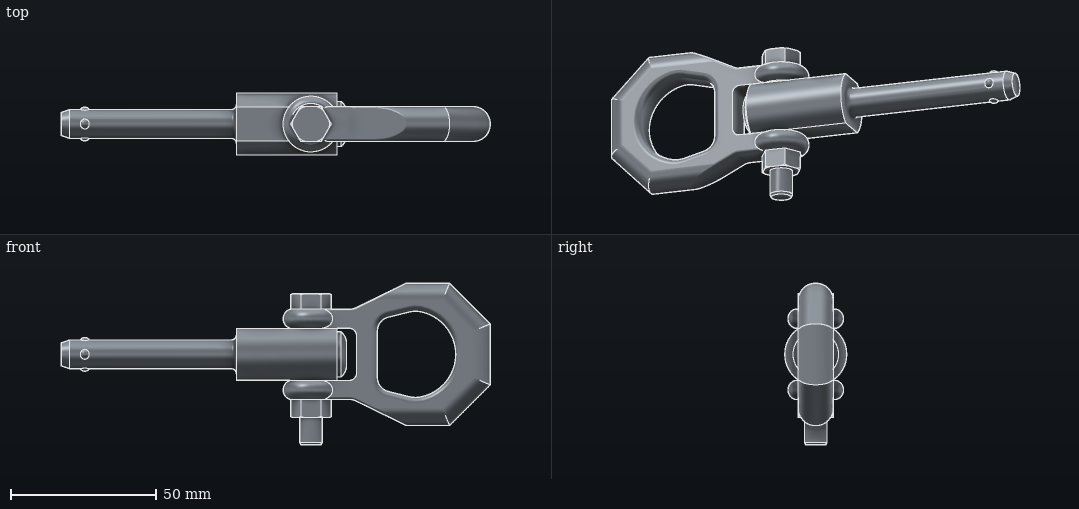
import cadquery as cq
import math


tip_x = -86.0
shank_diameter = 10.0
tip_taper_length = 3.0
tip_taper_depth = 1.0
ball_diameter = 3.7
ball_from_tip = 8.1
ball_protrusion = 0.81
block_start_x = -25.7
block_length = 34.7
block_diameter = 21.4
block_flat_width = 17.9
collar_radius = 1.6
button_radius = 7.8
button_rim_length = 1.3
button_length = 3.2
button_face_radius = 4.5
button_crown_bulge = 0.3

shank_radius = shank_diameter / 2
ball_radius = ball_diameter / 2
block_end_x = block_start_x + block_length

thickness = 12.1
ring_end_x = 61.7
ring_height = 49.0
ring_end_flat = 21.0
ring_crest_flat = 0.1
neck_bend_x = 14.5
neck_slope_end_x = 32.8
neck_bend_radius = 4.5
neck_edge_round = 0.9
slot_end_x = 15.7
slot_corner_radius = 2.5
eye_center_x = 34.9
eye_radius = 14.9
eye_flat_x = 22.9
eye_flat_half_height = 11.8
eye_side_angle = 14.0
eye_corner_radius = 4.9
eye_shoulder_radius = 9.6
eye_edge_round = 2.2
select_margin = 1.5

ring_half_height = ring_height / 2
ring_round = (thickness - ring_crest_flat) / 2
ring_corner_leg = ring_half_height - ring_end_flat / 2

boss_radius = 9.6
boss_face_radius = 7.1
boss_height = 6.6
bolt_diameter = 7.8
bolt_end_z = -31.2
bolt_tip_length = 0.9
bolt_tip_depth = 0.5
hex_across_flats = 12.1
hex_face_radius = 6.4
hex_chamfer_angle = 30.0
head_height = 5.3
nut_height = 6.2

boss_inner_z = block_flat_width / 2
boss_outer_z = boss_inner_z + boss_height
arm_half_height = boss_outer_z
hex_across_corners = hex_across_flats / math.cos(math.radians(30))


def make_pin_core():
    """Shank with tapered tip, collar blend and release button, turned about X."""
    button_rim_x = block_end_x + button_rim_length
    button_end_x = block_end_x + button_length
    crown_mid = (
        (button_rim_x + button_end_x) / 2 + button_crown_bulge,
        (button_radius + button_face_radius) / 2 + button_crown_bulge,
    )
    blend_mid = collar_radius * (1 - math.sqrt(0.5))
    profile = (
        cq.Workplane("XY")
        .moveTo(tip_x, 0)
        .lineTo(tip_x, shank_radius - tip_taper_depth)
        .lineTo(tip_x + tip_taper_length, shank_radius)
        .lineTo(block_start_x - collar_radius, shank_radius)
        .threePointArc(
            (block_start_x - blend_mid, shank_radius + blend_mid),
            (block_start_x, shank_radius + collar_radius),
        )
        .lineTo(block_start_x, button_radius)
        .lineTo(button_rim_x, button_radius)
        .threePointArc(crown_mid, (button_end_x, button_face_radius))
        .lineTo(button_end_x, 0)
        .close()
    )
    return profile.revolve(360, (0, 0, 0), (1, 0, 0))


def make_block():
    """Round block with a flat on its top and bottom."""
    barrel = (
        cq.Workplane("YZ", origin=(block_start_x, 0, 0))
        .circle(block_diameter / 2)
        .extrude(block_length)
    )
    flats = (
        cq.Workplane("YZ", origin=(block_start_x, 0, 0))
        .rect(block_diameter, block_flat_width)
        .extrude(block_length)
    )
    return barrel.intersect(flats)


def make_locking_pin():
    pin = make_pin_core().union(make_block())
    ball_offset = shank_radius + ball_protrusion - ball_radius
    for quarter in range(4):
        ball = (
            cq.Workplane("XY")
            .sphere(ball_radius)
            .translate((tip_x + ball_from_tip, 0, ball_offset))
            .rotate((0, 0, 0), (1, 0, 0), 90 * quarter)
        )
        pin = pin.union(ball)
    bolt_hole = cq.Workplane("XY").circle(bolt_diameter / 2).extrude(block_diameter, both=True)
    return pin.cut(bolt_hole)


def band(start_x, end_x):
    """Selector for everything centred between two X positions, over the whole ring height."""
    return cq.selectors.BoxSelector(
        (start_x, -thickness, -ring_height), (end_x, thickness, ring_height)
    )


def extrude_across(outline):
    """Extrude an XZ outline by the shackle thickness, centred on Y = 0."""
    return outline.extrude(thickness / 2, both=True)


def make_ring_blank():
    """Plate with a half-octagon far end and rounded outer edges."""
    blank = extrude_across(
        cq.Workplane("XZ")
        .moveTo(0, -ring_half_height)
        .lineTo(ring_end_x - ring_corner_leg, -ring_half_height)
        .lineTo(ring_end_x, -ring_end_flat / 2)
        .lineTo(ring_end_x, ring_end_flat / 2)
        .lineTo(ring_end_x - ring_corner_leg, ring_half_height)
        .lineTo(0, ring_half_height)
        .close()
    )
    return blank.faces("|Y").edges("not(<X)").fillet(ring_round)


def make_neck_cutter():
    """Waste above the upper arm and the slope that rises to the ring."""
    waste_top_z = 2 * ring_half_height - arm_half_height
    waste_end_x = 2 * neck_slope_end_x - neck_bend_x
    waste = (
        cq.Workplane("XZ", origin=(0, thickness, 0))
        .moveTo(-waste_end_x, arm_half_height)
        .lineTo(neck_bend_x, arm_half_height)
        .lineTo(waste_end_x, waste_top_z)
        .lineTo(-waste_end_x, waste_top_z)
        .close()
        .extrude(2 * thickness)
    )
    bend = cq.selectors.NearestToPointSelector((neck_bend_x, 0, arm_half_height))
    return waste.edges("|Y").edges(bend).fillet(neck_bend_radius)


def make_eye():
    """Round eye cut off by a flat and two sloped sides, with blended corners."""
    reach = eye_center_x + eye_radius - eye_flat_x
    far_half_height = eye_flat_half_height + reach * math.tan(math.radians(eye_side_angle))
    sides = extrude_across(
        cq.Workplane("XZ").polyline([
            (eye_flat_x, -eye_flat_half_height),
            (eye_flat_x + reach, -far_half_height),
            (eye_flat_x + reach, far_half_height),
            (eye_flat_x, eye_flat_half_height),
        ]).close()
    )
    disc = extrude_across(cq.Workplane("XZ").center(eye_center_x, 0).circle(eye_radius))
    left_part = extrude_across(
        cq.Workplane("XZ")
        .center((eye_flat_x + eye_center_x) / 2, 0)
        .rect(eye_center_x - eye_flat_x, 2 * eye_radius)
    )
    eye = sides.intersect(disc.union(left_part))
    corners = band(eye_flat_x - select_margin, eye_flat_x + select_margin)
    shoulders = band(eye_center_x - select_margin, eye_center_x + select_margin)
    eye = eye.edges("|Y").edges(shoulders).fillet(eye_shoulder_radius)
    return eye.edges("|Y").edges(corners).fillet(eye_corner_radius)


def make_slot():
    """Gap between the arms that takes the pin block."""
    return (
        extrude_across(cq.Workplane("XZ").rect(2 * slot_end_x, block_flat_width))
        .edges("|Y and >X")
        .fillet(slot_corner_radius)
    )


def make_frame():
    """Ring, neck and arms as one rounded plate with its eye and slot."""
    neck_waste = make_neck_cutter()
    frame = make_ring_blank().cut(neck_waste).cut(neck_waste.mirror("XY"))
    neck_region = band(select_margin, neck_slope_end_x - select_margin)
    neck_edges = frame.edges(neck_region).edges("not(|Y)")
    frame = neck_edges.fillet(neck_edge_round)
    frame = frame.cut(make_eye())
    eye_rim = cq.selectors.BoxSelector(
        (eye_flat_x - select_margin, -thickness, -eye_radius),
        (eye_center_x + eye_radius, thickness, eye_radius),
    )
    frame = frame.edges("(not |Y)").edges(eye_rim).fillet(eye_edge_round)
    return frame.cut(make_slot())


def make_boss():
    """Bulging round boss on the upper arm, turned about Z."""
    boss_middle_z = (boss_inner_z + boss_outer_z) / 2
    return (
        cq.Workplane("XZ")
        .moveTo(0, boss_inner_z)
        .lineTo(boss_face_radius, boss_inner_z)
        .threePointArc((boss_radius, boss_middle_z), (boss_face_radius, boss_outer_z))
        .lineTo(0, boss_outer_z)
        .close()
        .revolve(360, (0, 0, 0), (0, 1, 0))
    )


def make_hex(height):
    """Hexagon standing on the upper boss, its corners chamfered at the free end."""
    prism = (
        cq.Workplane("XY", origin=(0, 0, boss_outer_z))
        .polygon(6, hex_across_corners)
        .extrude(height)
    )
    corner_radius = hex_across_corners / 2
    chamfer_drop = (corner_radius - hex_face_radius) * math.tan(math.radians(hex_chamfer_angle))
    free_end_z = boss_outer_z + height
    chamfer_envelope = (
        cq.Workplane("XZ")
        .moveTo(0, boss_outer_z)
        .lineTo(corner_radius, boss_outer_z)
        .lineTo(corner_radius, free_end_z - chamfer_drop)
        .lineTo(hex_face_radius, free_end_z)
        .lineTo(0, free_end_z)
        .close()
        .revolve(360, (0, 0, 0), (0, 1, 0))
    )
    return prism.intersect(chamfer_envelope)


def make_bolt_shank():
    """Bolt from its chamfered lower end up to the head, through the pin block."""
    bolt_radius = bolt_diameter / 2
    return (
        cq.Workplane("XZ")
        .moveTo(0, bolt_end_z)
        .lineTo(bolt_radius - bolt_tip_depth, bolt_end_z)
        .lineTo(bolt_radius, bolt_end_z + bolt_tip_length)
        .lineTo(bolt_radius, boss_outer_z)
        .lineTo(0, boss_outer_z)
        .close()
        .revolve(360, (0, 0, 0), (0, 1, 0))
    )


def make_shackle():
    boss = make_boss()
    head = make_hex(head_height)
    nut = make_hex(nut_height).mirror("XY")
    shackle = make_frame()
    for piece in (boss, boss.mirror("XY"), head, nut, make_bolt_shank()):
        shackle = shackle.union(piece)
    return shackle


locking_pin = make_locking_pin()
shackle = make_shackle()

result = cq.Compound.makeCompound([locking_pin.val(), shackle.val()])